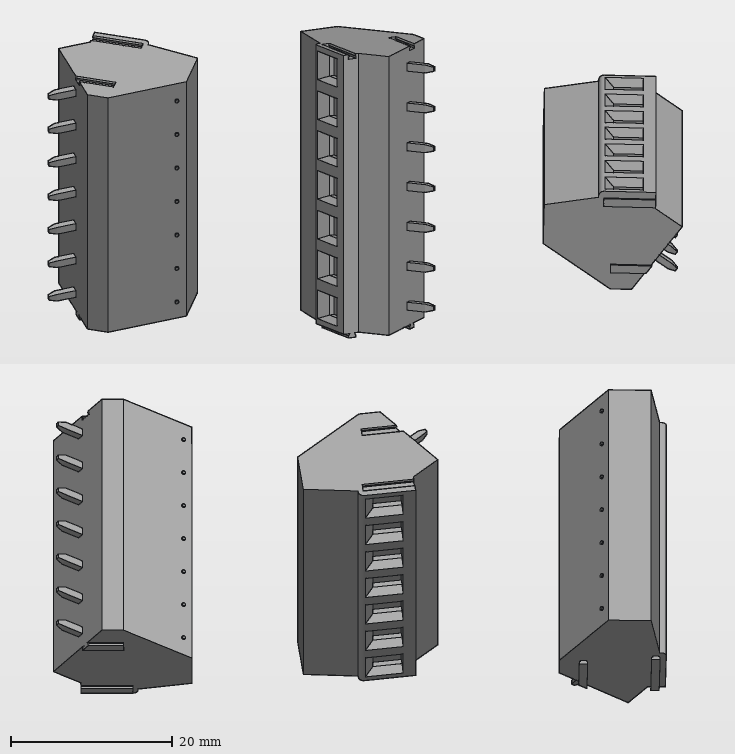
import cadquery as cq
import math

pole_count = 7
coupling_height = 0.58
overall_height = 36.15
body_height = overall_height - coupling_height
pole_pitch = body_height / pole_count
pole_heights = [(index + 0.5) * pole_pitch for index in range(pole_count)]

tilt = math.radians(35)
rear_x = 12.1
rear_top_y = 12.5
apex_x = 7.77
apex_y = 15.55
rear_chamfer_height = 2.17

cap_x = -1.8
cap_y = 5.4
cap_length = 7.12
cap_corner_radius = 0.7

funnel_start = 1.6
funnel_length = 4.75
funnel_width = 3.65
funnel_depth = 1.1
funnel_ramp = funnel_depth
funnel_side_taper = 0.55
funnel_straight_depth = 0.7

pin_x = 5.93
pin_length = 3.47
pin_tip_length = 0.98
pin_size = (0.85, 1.0)
pin_tip_size = (0.45, 0.55)
pin_embed = 0.35

stud_y = 11.2
stud_diameter = 0.47
stud_height = 0.18

rib_neck_width = 0.7
rib_foot_width = 1.05
rib_foot_level = 0.3
groove_mouth_width = 1.05
groove_neck_width = 0.8
groove_foot_width = 1.12
groove_neck_level = 0.2
groove_foot_level = 0.33
couplings = [(1.3, 6.47), (10.27, 5.4)]

along_face = (math.sin(tilt), math.cos(tilt))
inward = (math.cos(tilt), -math.sin(tilt))


def cap_point(along, depth):
    """XY point measured along and behind the wire face from the cap's lower edge."""
    return (
        cap_x + along * along_face[0] + depth * inward[0],
        cap_y + along * along_face[1] + depth * inward[1],
    )


def housing(height):
    """Prism of the housing outline, standing on Z = 0."""
    rear_chamfer_width = rear_chamfer_height * math.tan(tilt)
    flank_x, flank_y = cap_point(cap_length, 0)
    rise_to_wall = (flank_y - flank_x) - (apex_y - apex_x)
    flank_depth = rise_to_wall / (inward[0] - inward[1])
    corner_inset = cap_corner_radius * (1 - math.sqrt(0.5))
    return (
        cq.Workplane("XY")
        .moveTo(0, 0)
        .lineTo(rear_x - rear_chamfer_width, 0)
        .lineTo(rear_x, rear_chamfer_height)
        .lineTo(rear_x, rear_top_y)
        .lineTo(apex_x, apex_y)
        .lineTo(*cap_point(cap_length, flank_depth))
        .lineTo(*cap_point(cap_length, cap_corner_radius))
        .threePointArc(
            cap_point(cap_length - corner_inset, corner_inset),
            cap_point(cap_length - cap_corner_radius, 0),
        )
        .lineTo(cap_x, cap_y)
        .lineTo(0, cap_y + cap_x * math.tan(tilt))
        .close()
        .extrude(height)
    )


def funnel(z):
    """Rectangular wire entry with a ramped upper end, leading to a short straight pocket."""
    face = cq.Plane(
        origin=(cap_x, cap_y, z),
        xDir=(*along_face, 0),
        normal=(*inward, 0),
    )
    throat_length = funnel_length - funnel_ramp
    throat_width = funnel_width - 2 * funnel_side_taper
    mouth = (
        cq.Workplane(face)
        .center(funnel_start + funnel_length / 2, 0)
        .rect(funnel_length, funnel_width)
        .workplane(offset=funnel_depth)
        .center(-funnel_ramp / 2, 0)
        .rect(throat_length, throat_width)
        .loft(ruled=True)
    )
    pocket = (
        cq.Workplane(face)
        .workplane(offset=funnel_depth)
        .center(funnel_start + throat_length / 2, 0)
        .rect(throat_length, throat_width)
        .extrude(funnel_straight_depth)
    )
    return mouth.union(pocket)


def pin(z):
    """Rectangular solder pin with a tapered tip, pointing toward -Y."""
    shank_length = pin_length - pin_tip_length
    shank = (
        cq.Workplane("XZ", origin=(pin_x, pin_embed, z))
        .rect(*pin_size)
        .extrude(pin_embed + shank_length)
    )
    tip = (
        cq.Workplane("XZ", origin=(pin_x, -shank_length, z))
        .rect(*pin_size)
        .workplane(offset=pin_tip_length)
        .rect(*pin_tip_size)
        .loft(ruled=True)
    )
    return shank.union(tip)


def stud(z):
    """Round stud on the rear wall."""
    return (
        cq.Workplane("YZ", origin=(rear_x, stud_y, z))
        .circle(stud_diameter / 2)
        .extrude(stud_height)
    )


def coupling_bar(depth, end, z, half_section):
    """Bar hanging down from height z, with a symmetric section given as (half width, drop)."""
    section = cq.Plane(
        origin=(cap_x, cap_y, z),
        xDir=(*inward, 0),
        normal=(*along_face, 0),
    )
    mirrored = [(-half_width, drop) for half_width, drop in reversed(half_section)]
    return (
        cq.Workplane(section)
        .center(depth, 0)
        .polyline(half_section + mirrored)
        .close()
        .extrude(end)
    )


result = housing(body_height)

for pole_z in pole_heights:
    result = result.cut(funnel(pole_z)).union(pin(pole_z)).union(stud(pole_z))

rib_section = [
    (rib_neck_width / 2, 0),
    (rib_foot_width / 2, rib_foot_level),
    (rib_foot_width / 2, coupling_height),
]
groove_section = [
    (groove_mouth_width / 2, 0),
    (groove_neck_width / 2, groove_neck_level),
    (groove_foot_width / 2, groove_foot_level),
    (groove_foot_width / 2, coupling_height),
]

rib_space = housing(-coupling_height)
for coupling_depth, coupling_end in couplings:
    rib = coupling_bar(coupling_depth, coupling_end, 0, rib_section)
    groove = coupling_bar(coupling_depth, coupling_end, body_height, groove_section)
    result = result.union(rib.intersect(rib_space)).cut(groove)